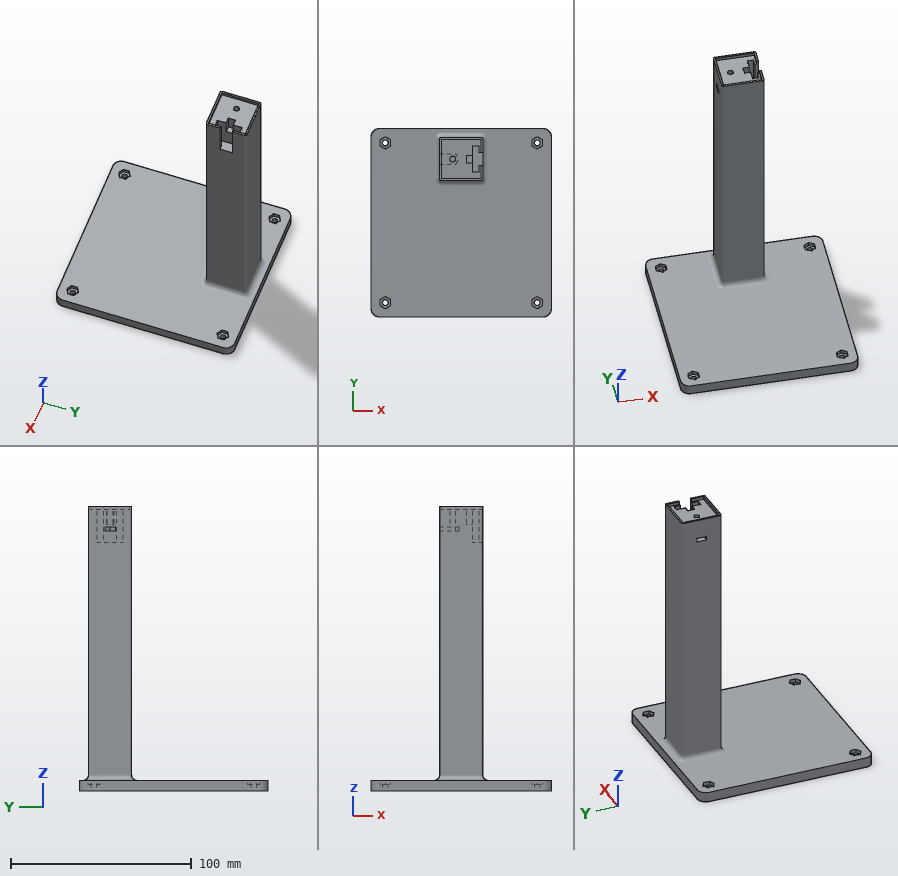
import cadquery as cq
import math

base_length_x = 100.0
base_length_y = 104.5
total_height = 157.5

base_thickness = 6.0
base_corner_radius = 5.0

screw_hole_diameter = 3.2
nut_flats_width = 5.8
nut_corner_diameter = nut_flats_width / math.cos(math.pi / 6)
nut_height = 2.2

hole_edge_distance = 8.0

post_width = 24.0
post_back_gap = 5.0
post_edge_radius = 1.1
post_foot_fillet = 3.0
post_center_y = base_length_y / 2 - post_back_gap - post_width / 2

rim_width = 1.1
recess_depth = 1.7
recess_floor_z = total_height - recess_depth

slot_depth = 20.0
slot_length_y = 14.5
slot_width_x = 3.5
slot_lip_thickness = 2.2
slot_mouth_width = 7.2
notch_width_y = 4.1
notch_length_x = 3.5
notch_depth = slot_depth / 2

post_hole_x = -4.7
nut_trap_depth = 11.5
nut_trap_top_z = total_height - nut_trap_depth


def block(x_min, x_max, width_y, z_min, z_max):
    """Box centred on the post in Y."""
    return (
        cq.Workplane("XY", origin=((x_min + x_max) / 2, post_center_y, z_min))
        .box(x_max - x_min, width_y, z_max - z_min, centered=(True, True, False))
    )


def make_base():
    hole_spacing_x = base_length_x - 2 * hole_edge_distance
    hole_spacing_y = base_length_y - 2 * hole_edge_distance
    base = (
        cq.Workplane("XY")
        .box(base_length_x, base_length_y, base_thickness, centered=(True, True, False))
        .edges("|Z").fillet(base_corner_radius)
    )
    hole_centers = (
        cq.Workplane("XY", origin=(0, 0, base_thickness))
        .transformed(rotate=(0, 0, 90))
        .rect(hole_spacing_y, hole_spacing_x, forConstruction=True)
        .vertices()
    )
    screw_holes = hole_centers.circle(screw_hole_diameter / 2).extrude(-base_thickness)
    nut_pockets = hole_centers.polygon(6, nut_corner_diameter).extrude(-nut_height)
    return base.cut(screw_holes).cut(nut_pockets)


def make_post():
    half_x = post_width / 2
    post = block(-half_x, half_x, post_width, 0, total_height)
    return post.edges("|Z").fillet(post_edge_radius)


def fillet_post_foot(body):
    margin = post_edge_radius / 2
    half_x = post_width / 2 + margin
    half_y = post_width / 2 + margin
    foot_edges = cq.selectors.BoxSelector(
        (-half_x, post_center_y - half_y, base_thickness - margin),
        (half_x, post_center_y + half_y, base_thickness + margin),
    )
    return body.edges(foot_edges).fillet(post_foot_fillet)


def make_top_recess():
    half_x = post_width / 2 - rim_width
    return block(-half_x, half_x, post_width - 2 * rim_width, recess_floor_z, total_height)


def make_t_slot():
    slot_floor_z = total_height - slot_depth
    outer_x = post_width / 2
    cavity_max_x = outer_x - slot_lip_thickness
    cavity_min_x = cavity_max_x - slot_width_x
    notch_min_x = cavity_min_x - notch_length_x
    cavity = block(cavity_min_x, cavity_max_x, slot_length_y, slot_floor_z, total_height)
    mouth = block(cavity_min_x, outer_x, slot_mouth_width, slot_floor_z, total_height)
    notch = block(notch_min_x, cavity_min_x, notch_width_y, total_height - notch_depth, total_height)
    return cavity.union(mouth).union(notch)


def make_nut_trap():
    trap_floor_z = nut_trap_top_z - nut_height
    trap = block(-post_width / 2, post_hole_x, nut_flats_width, trap_floor_z, nut_trap_top_z)
    hole_plane = cq.Workplane("XY", origin=(post_hole_x, post_center_y, trap_floor_z))
    nut = hole_plane.polygon(6, nut_corner_diameter).extrude(nut_height)
    hole = hole_plane.circle(screw_hole_diameter / 2).extrude(total_height - trap_floor_z)
    return trap.union(nut).union(hole)


body = fillet_post_foot(make_base().union(make_post()))
result = body.cut(make_top_recess()).cut(make_t_slot()).cut(make_nut_trap())